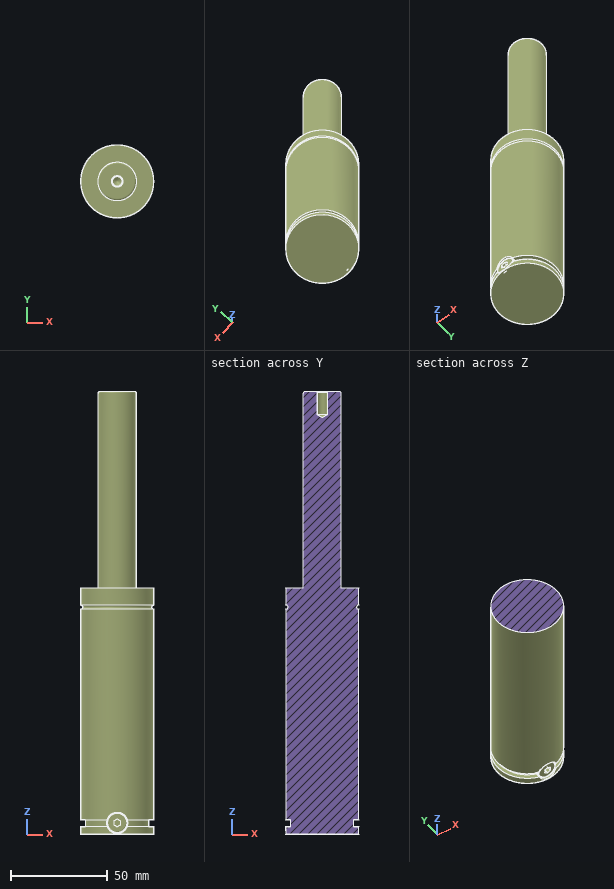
import cadquery as cq
import math

total_height = 230.0
body_diameter = 38.0
body_height = 128.0
body_radius = body_diameter / 2

rod_diameter = 20.0
rod_end_fillet = 1.0
rod_hole_diameter = 5.0
rod_hole_mouth_diameter = 6.0
rod_hole_depth = 12.0
drill_point_angle = 118.0

cap_groove_height = 118.0
cap_groove_radius = 1.0
mount_groove_bottom = 4.0
mount_groove_top = 7.5
mount_groove_depth = 2.5

plug_diameter = 10.0
plug_flange_diameter = 11.0
plug_height = 6.0
plug_flange_y = -17.5
plug_face_y = -18.4
plug_edge_fillet = 0.5
socket_across_flats = 3.5
socket_depth = 3.0


def cylinder(diameter, bottom, top):
    """Upright cylinder on the Z axis."""
    return cq.Workplane("XY").workplane(offset=bottom).circle(diameter / 2).extrude(top - bottom)


def cut_cap_groove(body):
    """Half-round groove centred on the body surface."""
    groove = cq.Workplane("XZ").center(body_radius, cap_groove_height).circle(cap_groove_radius)
    return body.cut(groove.revolve(360, (-body_radius, 0), (-body_radius, 1)))


def cut_mount_groove(body):
    """Square groove around the base."""
    outer = cylinder(body_diameter, mount_groove_bottom, mount_groove_top)
    core = cylinder(body_diameter - 2 * mount_groove_depth, mount_groove_bottom, mount_groove_top)
    return body.cut(outer.cut(core))


def plug_cylinder(diameter, start_y, end_y):
    """Cylinder along Y on the plug axis, running from start_y toward -Y."""
    plane = cq.Workplane("XZ", origin=(0, start_y, plug_height))
    return plane.circle(diameter / 2).extrude(start_y - end_y)


def make_body():
    body = cylinder(body_diameter, 0, body_height)
    return cut_mount_groove(cut_cap_groove(body))


def make_rod():
    rod = cylinder(rod_diameter, body_height, total_height).faces(">Z").edges().fillet(rod_end_fillet)
    bore_radius = rod_hole_diameter / 2
    mouth_radius = rod_hole_mouth_diameter / 2
    hole_bottom = total_height - rod_hole_depth
    point_height = bore_radius / math.tan(math.radians(drill_point_angle / 2))
    hole = (
        cq.Workplane("XZ")
        .moveTo(0, hole_bottom - point_height)
        .lineTo(bore_radius, hole_bottom)
        .lineTo(bore_radius, total_height - (mouth_radius - bore_radius))
        .lineTo(mouth_radius, total_height)
        .lineTo(0, total_height)
        .close()
        .revolve(360, (0, 0), (0, 1))
    )
    return rod.cut(hole)


def make_socket():
    """Hexagonal key socket with corners pointing up and down."""
    across_corners = socket_across_flats / math.cos(math.radians(30))
    plane = cq.Workplane("XZ", origin=(0, plug_face_y + socket_depth, plug_height))
    return plane.transformed(rotate=(0, 0, 90)).polygon(6, across_corners).extrude(socket_depth)


def add_plug(body):
    """Sink the flanged plug into the body, slightly below its surface."""
    body = body.cut(plug_cylinder(plug_flange_diameter, plug_flange_y, -body_radius))
    flange = plug_cylinder(plug_flange_diameter, 0, plug_flange_y)
    head = plug_cylinder(plug_diameter, 0, plug_face_y).faces("<Y").edges().fillet(plug_edge_fillet)
    return body.union(flange).union(head).cut(make_socket())


result = add_plug(make_body()).union(make_rod())